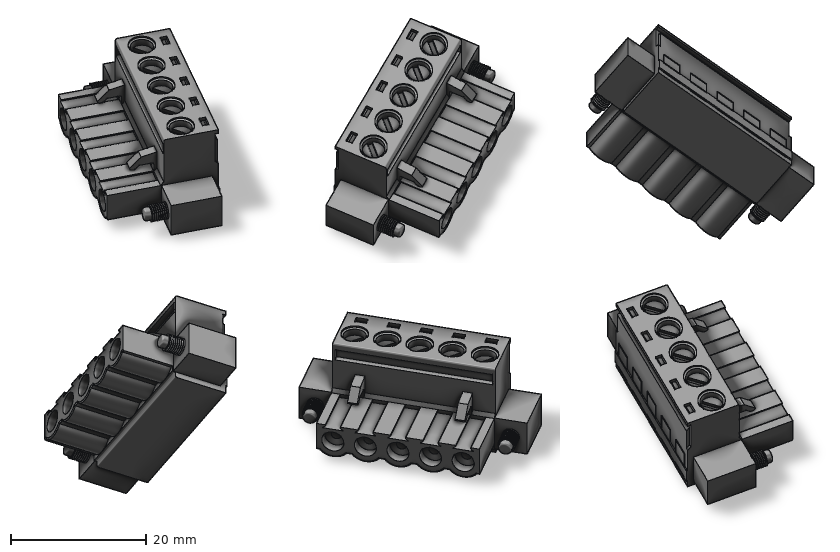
import cadquery as cq
import math


TOTAL_WIDTH = 35.0
TOTAL_DEPTH = 17.4
HEIGHT = 15.1
POLES = 5
PITCH = TOTAL_WIDTH / (POLES + 2)
BODY_WIDTH = POLES * PITCH
HALF_BODY = BODY_WIDTH / 2
POLE_X = [(i - (POLES - 1) / 2) * PITCH for i in range(POLES)]
EAR_OFFSET = (BODY_WIDTH + PITCH) / 2
EAR_X = [-EAR_OFFSET, EAR_OFFSET]

BODY_FRONT = 8.75
BODY_REAR = 17.2
SHOULDER_FRONT = 8.25
FLARE_TOP = 7.15
TOP_ROUND = 0.35
BOTTOM_ROUND = 0.3

BAND_BOTTOM = 0.98
BAND_TOP = 6.55
AXIS_Z = (BAND_BOTTOM + BAND_TOP) / 2
EAR_FRONT = 8.4
EAR_REAR = 16.25

WEB_Z = 1.92
BARREL_RADIUS = AXIS_Z - BAND_BOTTOM
CHAMFER_HEIGHT = 0.2
CHAMFER_LENGTH = 0.15

CONTACT_RADIUS = 1.68
CONTACT_DEPTH = 1.6
CONTACT_END_RADIUS = 0.77
CONTACT_TAPER = 0.3

GROOVE_BOTTOM_WIDTH = 3.1
GROOVE_NECK_WIDTH = 2.28
GROOVE_TOP_WIDTH = 2.3
GROOVE_DEPTH = 0.6
GROOVE_LIP = 0.18

WELL_Y = 12.1
WELL_RIM_RADIUS = 2.03
WELL_RIM_DEPTH = 0.25
WELL_STEP_DEPTH = 0.4
WELL_RADIUS = 1.7
WELL_DEPTH = 1.47
DRIVE_WIDTH = 0.77
DRIVE_DEPTH = 0.55
DRIVE_ANGLE = 45

WINDOW_WIDTH = 1.8
WINDOW_FRONT = 15.2
WINDOW_REAR = 16.2
RIDGE_Y = 15.9
RIDGE_DEPTH = 0.52
WINDOW_REAR_DEPTH = 0.63
WINDOW_FRONT_DEPTH = 0.77

LABEL_MARGIN = 0.42
LABEL_BOTTOM = 12.2
LABEL_TOP = 14.05
LABEL_DEPTH = 0.88

SLOT_FLOOR = 16.65
SLOT_TOP = 14.4
SLOT_BOTTOM = 8.68
PANEL_TOP = 13.35
PANEL_MARGIN = 0.42
RAIL_BOTTOM = 1.33
RAIL_TOP = 3.85
PAD_REAR = 17.3
PAD_WIDTH = 3.0
PAD_BOTTOM = 1.2
PAD_TOP = 6.72

LATCH_WIDTH = 1.5
LATCH_X = 8.25
LATCH_ROOT_Z = 10.15
LATCH_KNEE_Y = 6.3
LATCH_KNEE_Z = 9.73
LATCH_NOSE_Y = 4.5
LATCH_NOSE_Z = 7.98
LATCH_NOSE_ROUND = 0.42
LATCH_BARB_Y = 5.32
LATCH_BARB_Z = 7.55
LATCH_UNDERSIDE_Z = 8.22
LATCH_INNER_ROUND = 0.35

THREAD_RADIUS = 1.3
THREAD_ROOT = 1.1
THREAD_PITCH = 0.3
THREAD_TURNS = 8
TIP_RADIUS = 1.0
TIP_LENGTH = 1.05
TIP_ROUND = 0.35


def box(x_size, y_range, z_range, x_center=0.0):
    """Box centred on x_center that spans the given Y and Z ranges."""
    y_size = y_range[1] - y_range[0]
    z_size = z_range[1] - z_range[0]
    corner = (x_center - x_size / 2, y_range[0], z_range[0])
    return cq.Workplane("XY").box(x_size, y_size, z_size, centered=False).translate(corner)


def along_x(profile, width, x_center=0.0):
    """Extrude a closed (Y, Z) profile by width, centred on x_center."""
    return profile.close().extrude(width / 2, both=True).translate((x_center, 0, 0))


def make_body():
    """Main housing: side profile run along the row, less the label and rear recesses."""
    cove_front = BODY_FRONT - BOTTOM_ROUND
    profile = (
        cq.Workplane("YZ")
        .moveTo(BODY_REAR, 0)
        .lineTo(BODY_FRONT + BOTTOM_ROUND, 0)
        .radiusArc((BODY_FRONT, BOTTOM_ROUND), BOTTOM_ROUND)
        .lineTo(BODY_FRONT, BAND_BOTTOM - BOTTOM_ROUND)
        .radiusArc((cove_front, BAND_BOTTOM), -BOTTOM_ROUND)
        .lineTo(SHOULDER_FRONT, BAND_BOTTOM)
        .lineTo(SHOULDER_FRONT, BAND_TOP)
        .lineTo(BODY_FRONT, FLARE_TOP)
        .lineTo(BODY_FRONT, HEIGHT - TOP_ROUND)
        .radiusArc((BODY_FRONT + TOP_ROUND, HEIGHT), TOP_ROUND)
        .lineTo(BODY_REAR, HEIGHT)
    )
    body = along_x(profile, BODY_WIDTH)
    label_width = BODY_WIDTH - 2 * LABEL_MARGIN
    label = box(label_width, (BODY_FRONT, BODY_FRONT + LABEL_DEPTH), (LABEL_BOTTOM, LABEL_TOP))
    return body.cut(label).cut(make_rear_slot())


def make_rear_slot():
    """Recess under the rear lip, with a bevelled raised panel left standing in it."""
    bevel = BODY_REAR - SLOT_FLOOR
    slot = along_x(
        cq.Workplane("YZ").polyline([
            (BODY_REAR, SLOT_BOTTOM),
            (SLOT_FLOOR, SLOT_BOTTOM + bevel),
            (SLOT_FLOOR, SLOT_TOP),
            (BODY_REAR, SLOT_TOP),
        ]),
        BODY_WIDTH,
    )
    panel = along_x(
        cq.Workplane("YZ").polyline([
            (BODY_REAR, SLOT_BOTTOM),
            (SLOT_FLOOR, SLOT_BOTTOM),
            (SLOT_FLOOR, PANEL_TOP),
            (BODY_REAR, PANEL_TOP - bevel),
        ]),
        BODY_WIDTH - 2 * PANEL_MARGIN,
    )
    return slot.cut(panel)


def make_rear_pads():
    """Full-width rail low on the rear face, and one flat pad per pole."""
    pads = box(BODY_WIDTH, (BODY_REAR, TOTAL_DEPTH), (RAIL_BOTTOM, RAIL_TOP))
    for x in POLE_X:
        pads = pads.union(box(PAD_WIDTH, (BODY_REAR, PAD_REAR), (PAD_BOTTOM, PAD_TOP), x))
    return pads


def tongue_outline(inset):
    """Front outline of the tongue with its underside drawn in by inset."""
    radius = BARREL_RADIUS - inset
    web_z = WEB_Z + inset
    half_chord = math.sqrt(radius**2 - (AXIS_Z - web_z)**2)
    outline = cq.Workplane("XZ").moveTo(-HALF_BODY, BAND_TOP).lineTo(-HALF_BODY, web_z)
    for x in POLE_X:
        outline = outline.lineTo(x - half_chord, web_z)
        outline = outline.threePointArc((x, AXIS_Z - radius), (x + half_chord, web_z))
    return outline.lineTo(HALF_BODY, web_z).lineTo(HALF_BODY, BAND_TOP).close()


def make_tongue():
    """Plug tongue with a bevelled front lower edge, contact holes and grooves."""
    front_wire = tongue_outline(CHAMFER_HEIGHT).wires().val()
    back_wire = tongue_outline(0).wires().val().translate(cq.Vector(0, CHAMFER_LENGTH, 0))
    nose = cq.Workplane(cq.Solid.makeLoft([front_wire, back_wire], True))
    length = BODY_FRONT - CHAMFER_LENGTH
    bar = tongue_outline(0).extrude(-length).translate((0, CHAMFER_LENGTH, 0))
    tongue = bar.union(nose)
    for x in POLE_X:
        tongue = tongue.cut(make_contact_hole(x)).cut(make_groove(x))
    return tongue


def make_contact_hole(x):
    """Blind round hole with a shallow conical end."""
    floor_y = CONTACT_DEPTH + CONTACT_TAPER
    profile = cq.Workplane("XY").polyline([
        (0, 0),
        (CONTACT_RADIUS, 0),
        (CONTACT_RADIUS, CONTACT_DEPTH),
        (CONTACT_END_RADIUS, floor_y),
        (0, floor_y),
    ])
    return profile.close().revolve(360, (0, 0), (0, 1)).translate((x, 0, AXIS_Z))


def make_groove(x):
    """Dovetail groove along the top of the tongue, up to the body shoulder."""
    half_bottom = GROOVE_BOTTOM_WIDTH / 2
    half_neck = GROOVE_NECK_WIDTH / 2
    half_top = GROOVE_TOP_WIDTH / 2
    floor_z = BAND_TOP - GROOVE_DEPTH
    lip_z = BAND_TOP - GROOVE_LIP
    profile = cq.Workplane("XZ").polyline([
        (x - half_bottom, floor_z),
        (x + half_bottom, floor_z),
        (x + half_neck, lip_z),
        (x + half_top, BAND_TOP),
        (x - half_top, BAND_TOP),
        (x - half_neck, lip_z),
    ])
    return profile.close().extrude(-SHOULDER_FRONT)


def make_screw_well(x):
    """Stepped well with a slotted screw head as its floor."""
    step_z = HEIGHT - WELL_STEP_DEPTH
    floor_z = HEIGHT - WELL_DEPTH
    profile = cq.Workplane("XZ").polyline([
        (0, HEIGHT),
        (WELL_RIM_RADIUS, HEIGHT),
        (WELL_RIM_RADIUS, HEIGHT - WELL_RIM_DEPTH),
        (WELL_RADIUS, step_z),
        (WELL_RADIUS, floor_z),
        (0, floor_z),
    ])
    well = profile.close().revolve(360, (0, 0), (0, 1))
    bore = cq.Workplane("XY").circle(WELL_RADIUS).extrude(DRIVE_DEPTH)
    bar = cq.Workplane("XY").rect(2 * WELL_RADIUS, DRIVE_WIDTH).extrude(DRIVE_DEPTH)
    drive = bar.rotate((0, 0, 0), (0, 0, 1), DRIVE_ANGLE).intersect(bore)
    return well.union(drive.translate((0, 0, floor_z - DRIVE_DEPTH))).translate((x, WELL_Y, 0))


def make_window(x):
    """Rectangular test opening whose floor rises to a low ridge."""
    profile = cq.Workplane("YZ").polyline([
        (WINDOW_FRONT, HEIGHT),
        (WINDOW_FRONT, HEIGHT - WINDOW_FRONT_DEPTH),
        (RIDGE_Y, HEIGHT - RIDGE_DEPTH),
        (WINDOW_REAR, HEIGHT - WINDOW_REAR_DEPTH),
        (WINDOW_REAR, HEIGHT),
    ])
    return along_x(profile, WINDOW_WIDTH, x)


def make_latch(x):
    """Hook that reaches forward over the tongue."""
    barb_end_y = LATCH_BARB_Y + LATCH_UNDERSIDE_Z - LATCH_BARB_Z
    profile = (
        cq.Workplane("YZ")
        .moveTo(BODY_FRONT, BAND_TOP)
        .lineTo(BODY_FRONT, LATCH_ROOT_Z)
        .lineTo(LATCH_KNEE_Y, LATCH_KNEE_Z)
        .lineTo(LATCH_NOSE_Y, LATCH_NOSE_Z)
        .radiusArc((LATCH_NOSE_Y + LATCH_NOSE_ROUND, LATCH_BARB_Z), -LATCH_NOSE_ROUND)
        .lineTo(LATCH_BARB_Y, LATCH_BARB_Z)
        .lineTo(barb_end_y, LATCH_UNDERSIDE_Z)
        .lineTo(SHOULDER_FRONT - LATCH_INNER_ROUND, LATCH_UNDERSIDE_Z)
        .radiusArc((SHOULDER_FRONT, LATCH_UNDERSIDE_Z - LATCH_INNER_ROUND), LATCH_INNER_ROUND)
        .lineTo(SHOULDER_FRONT, BAND_TOP)
    )
    return along_x(profile, LATCH_WIDTH, x)


def make_ear_screw(x):
    """Threaded stud; the thread is a row of ring-shaped ridges."""
    thread_end = EAR_FRONT - THREAD_TURNS * THREAD_PITCH
    tip_end = thread_end - TIP_LENGTH
    profile = cq.Workplane("XY").moveTo(0, EAR_FRONT).lineTo(THREAD_RADIUS, EAR_FRONT)
    for turn in range(THREAD_TURNS):
        start = EAR_FRONT - turn * THREAD_PITCH
        profile = profile.lineTo(THREAD_ROOT, start - THREAD_PITCH / 2)
        profile = profile.lineTo(THREAD_RADIUS, start - THREAD_PITCH)
    profile = (
        profile.lineTo(TIP_RADIUS, thread_end)
        .lineTo(TIP_RADIUS, tip_end + TIP_ROUND)
        .radiusArc((TIP_RADIUS - TIP_ROUND, tip_end), TIP_ROUND)
        .lineTo(0, tip_end)
        .close()
    )
    return profile.revolve(360, (0, 0), (0, 1)).translate((x, 0, AXIS_Z))


result = make_body().union(make_rear_pads()).union(make_tongue())
for pole_x in POLE_X:
    result = result.cut(make_screw_well(pole_x)).cut(make_window(pole_x))
for latch_x in (-LATCH_X, LATCH_X):
    result = result.union(make_latch(latch_x))
for ear_x in EAR_X:
    result = result.union(box(PITCH, (EAR_FRONT, EAR_REAR), (BAND_BOTTOM, BAND_TOP), ear_x))
    result = result.union(make_ear_screw(ear_x))